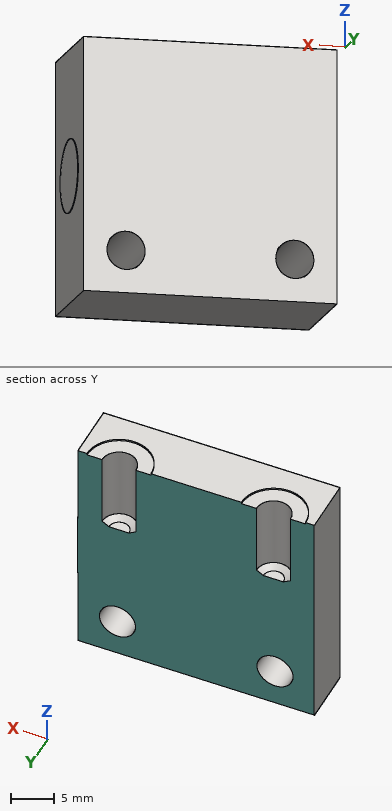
import cadquery as cq
import math

overall_length = 30.1
pad_height = 0.1
block_length = overall_length - pad_height
block_width = 14.0
block_height = 30.0

pad_diameter = 8.67
pad_center_z = 15.05

mount_diameter = 4.5
mount_spacing = 20.0
mount_center_z = 5.0

port_spacing = 19.6
recess_diameter = 8.1
recess_depth = 0.2
bore_diameter = 4.27
bore_depth = 9.93
bore_floor_diameter = 2.53
drill_point_angle = 118.0
taper_run = (bore_diameter - bore_floor_diameter) / 2
taper_depth = taper_run / math.tan(math.radians(drill_point_angle / 2))


def make_block():
    return cq.Workplane("XY").box(block_length, block_width, block_height, centered=(True, True, False))


def make_pad():
    face = cq.Workplane("YZ", origin=(block_length / 2, 0, pad_center_z))
    return face.circle(pad_diameter / 2).extrude(pad_height)


def make_mount_hole(x):
    start = cq.Workplane("XZ", origin=(x, block_width / 2, mount_center_z))
    return start.circle(mount_diameter / 2).extrude(block_width)


def make_port(x):
    """Cavity of one port, revolved about its vertical axis from the top face down."""
    bore_radius = bore_diameter / 2
    floor_depth = bore_depth + taper_depth
    profile = (
        cq.Workplane("XZ", origin=(x, 0, block_height))
        .lineTo(recess_diameter / 2, 0)
        .lineTo(recess_diameter / 2, -recess_depth)
        .lineTo(bore_radius, -recess_depth)
        .lineTo(bore_radius, -bore_depth)
        .lineTo(bore_floor_diameter / 2, -floor_depth)
        .lineTo(0, -floor_depth)
        .close()
    )
    return profile.revolve(360, (0, 0, 0), (0, 1, 0))


result = make_block().union(make_pad())
for side in (-1, 1):
    result = result.cut(make_mount_hole(side * mount_spacing / 2))
    result = result.cut(make_port(side * port_spacing / 2))